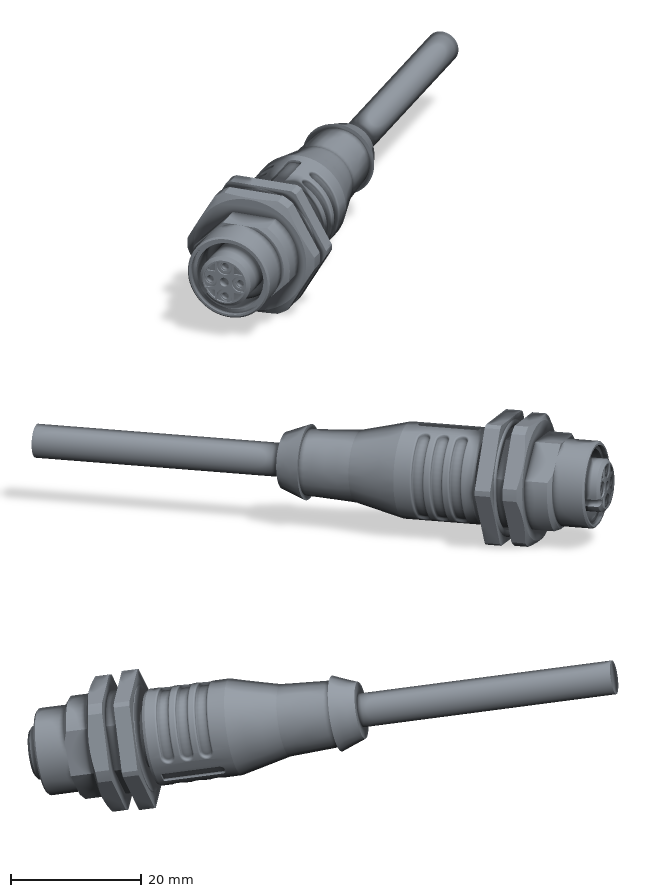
import cadquery as cq
import math


total_length = 92.0
cable_diameter = 5.2

boot_front = 19.0
boot_front_chamfer = 0.5
grip_back = 32.1
waist_y = 39.9
collar_front = 48.1
collar_back = 52.0
grip_radius = 15.0 / 2
waist_radius = 5.6
boot_neck_radius = 5.15
collar_front_radius = 5.9
collar_back_radius = 4.4
neck_radius = 9.4 / 2

groove_pitch = 3.0
middle_groove_y = 25.3
groove_width = 1.8
groove_end_x = 3.0
groove_depth = 0.55
groove_fillet = 0.26
slot_width = 2.1
slot_front = 20.4
slot_back = 30.4
slot_floor_z = 7.0
slot_corner_radius = 0.7

across_flats = 19.0
flange_back = 17.9
flange_front = 15.5
flange_corner_radius = 21.5 / 2
flange_land_radius = 8.3
flange_land_height = 0.1
panel_ring_radius = 9.2
panel_ring_front = 15.2
panel_ring_tube_radius = 0.6
nut_back = 13.5
nut_front = 10.8
nut_corner_radius = 21.0 / 2
nut_face_radius = 9.3
nut_chamfer_length = 0.55

housing_radius = 16.0 / 2
housing_front = 6.6
housing_front_radius = 7.3
housing_chamfer_length = 0.55
flat_distance = 13.5 / 2
sleeve_radius = flat_distance
sleeve_front = 1.7
sleeve_edge_chamfer = 0.3
mouth_radius = 12.3 / 2
mouth_depth = 0.7
bore_radius = 11.0 / 2
bore_floor = housing_front

insert_radius = 4.1
insert_chamfer_width = 0.55
insert_chamfer_length = 0.5
sealing_ring_tube_radius = (bore_radius - insert_radius) / 2
contact_circle_radius = 2.5
contact_hole_diameter = 1.1
contact_mouth_diameter = 1.5
contact_hole_depth = 4.6
contact_pocket_radius = 2.5 / 2
contact_pocket_depth = 0.3
contact_pocket_reach = 3.4
corner_recess_offset = 1.6
corner_recess_radius = 3.3
key_angle = 210
key_radius = 0.7
key_length = 4.6

overlap = 0.5


def turned(points):
    """Solid of revolution about Y from (radius, y) points."""
    return cq.Workplane("XY").polyline(points).close().revolve(360, (0, 0, 0), (0, 1, 0))


def cylinder(radius, y_front, y_back, x=0.0, z=0.0):
    """Cylinder parallel to Y."""
    plane = cq.Plane(origin=(x, y_front, z), xDir=(1, 0, 0), normal=(0, 1, 0))
    return cq.Workplane(plane).circle(radius).extrude(y_back - y_front)


def hexagon(y_front, y_back, corner_radius):
    """Hexagonal prism with flats on top and bottom and its corners turned to a cylinder."""
    corner_distance = across_flats / math.cos(math.pi / 6)
    prism = cq.Workplane("XZ", origin=(0, y_back, 0)).polygon(6, corner_distance).extrude(y_back - y_front)
    return prism.intersect(cylinder(corner_radius, y_front, y_back))


def make_boot():
    """Turned boot with a grip, a cone, a neck and a collar."""
    profile = (
        cq.Workplane("XY")
        .moveTo(0, boot_front)
        .lineTo(grip_radius - boot_front_chamfer / 2, boot_front)
        .lineTo(grip_radius, boot_front + boot_front_chamfer)
        .lineTo(grip_radius, grip_back)
        .lineTo(waist_radius, waist_y)
        .lineTo(boot_neck_radius, collar_front)
        .lineTo(collar_front_radius, collar_front)
        .lineTo(collar_back_radius, collar_back)
        .lineTo(0, collar_back)
        .close()
    )
    return profile.revolve(360, (0, 0, 0), (0, 1, 0))


def grip_groove(y, side):
    """Cutter for one round-ended groove wrapped round an X side of the grip."""
    half_width = groove_width / 2
    outside = 2 * grip_radius
    window = (
        cq.Workplane("XY", origin=(0, y, -outside))
        .moveTo(side * outside, half_width)
        .lineTo(side * (groove_end_x + half_width), half_width)
        .threePointArc((side * groove_end_x, 0), (side * (groove_end_x + half_width), -half_width))
        .lineTo(side * outside, -half_width)
        .close()
        .extrude(2 * outside)
    )
    return window.cut(cylinder(grip_radius - groove_depth, y - groove_width, y + groove_width))


def is_groove_edge(edge):
    """True for the edges along the rim or the floor of a groove, but not for those across its wall."""
    start_radius, end_radius = (math.hypot(p.x, p.z) for p in (edge.startPoint(), edge.endPoint()))
    runs_along = abs(start_radius - end_radius) < groove_depth / 2
    return runs_along and abs(edge.Center().y - middle_groove_y) < 1.5 * groove_pitch


def grip_slot():
    """Flat-bottomed slot cutter for the top, rounded at its cable end."""
    slot_length = slot_back - slot_front
    block = cq.Workplane("XY").box(slot_width, slot_length, grip_radius, centered=(True, False, False))
    return block.edges("|Z and >Y").fillet(slot_corner_radius).translate((0, slot_front, slot_floor_z))


def make_nut():
    """Hexagonal nut with its front corners chamfered."""
    turned_blank = turned([
        (0, nut_front),
        (nut_face_radius, nut_front),
        (nut_corner_radius, nut_front + nut_chamfer_length),
        (nut_corner_radius, nut_back),
        (0, nut_back),
    ])
    return hexagon(nut_front, nut_back, nut_corner_radius).intersect(turned_blank)


def make_housing():
    """Turned body with level flats above and below and a pair of flats tilted by 45 degrees."""
    body = turned([
        (0, housing_front),
        (housing_front_radius, housing_front),
        (housing_radius, housing_front + housing_chamfer_length),
        (housing_radius, flange_front),
        (0, flange_front),
    ])
    width = 2 * housing_radius
    flats = cq.Workplane("XY").box(width, 2 * total_length, 2 * flat_distance)
    return body.intersect(flats).intersect(flats.rotate((0, 0, 0), (0, 1, 0), -45))


def make_sleeve():
    """Thin sleeve with a wider mouth stepped into its bore."""
    sleeve = cylinder(sleeve_radius, sleeve_front, housing_front).faces("<Y").chamfer(sleeve_edge_chamfer)
    mouth = cylinder(mouth_radius, sleeve_front, sleeve_front + mouth_depth)
    return sleeve.cut(mouth).cut(cylinder(bore_radius, sleeve_front, bore_floor))


def contact_hole(x, z):
    """Blind contact hole with a counterbored mouth."""
    hole = cylinder(contact_hole_diameter / 2, 0, contact_hole_depth, x, z)
    counterbore_depth = contact_pocket_depth + (contact_mouth_diameter - contact_hole_diameter) / 2
    return hole.union(cylinder(contact_mouth_diameter / 2, 0, counterbore_depth, x, z))


def contact_pocket():
    """U-shaped pocket round the top contact, running outwards nearly to the insert chamfer."""
    width = 2 * contact_pocket_radius
    leg = (
        cq.Workplane("XY")
        .box(width, contact_pocket_depth, contact_pocket_reach, centered=(True, False, False))
        .translate((0, 0, contact_circle_radius))
    )
    round_end = cylinder(contact_pocket_radius, 0, contact_pocket_depth, 0, contact_circle_radius)
    return round_end.union(leg).intersect(cylinder(contact_pocket_reach, 0, contact_pocket_depth))


def corner_recess():
    """Shallow recess between two neighbouring contact pockets."""
    block = (
        cq.Workplane("XY")
        .box(corner_recess_radius, contact_pocket_depth, corner_recess_radius, centered=False)
        .translate((corner_recess_offset, 0, corner_recess_offset))
    )
    return block.intersect(cylinder(corner_recess_radius, 0, contact_pocket_depth))


def make_insert():
    """Socket insert with four outer contacts, a central hole and a coding keyway along its side."""
    insert = cylinder(insert_radius, 0, bore_floor + overlap)
    insert = insert.faces("<Y").chamfer(insert_chamfer_length, insert_chamfer_width)
    for quarter in range(4):
        angle = 90 * quarter
        for cutter in (contact_pocket(), corner_recess(), contact_hole(0, contact_circle_radius)):
            insert = insert.cut(cutter.rotate((0, 0, 0), (0, 1, 0), angle))
    insert = insert.cut(cylinder(contact_mouth_diameter / 2, 0, contact_hole_depth))
    key_x = insert_radius * math.cos(math.radians(key_angle))
    key_z = insert_radius * math.sin(math.radians(key_angle))
    return insert.cut(cylinder(key_radius, 0, key_length, key_x, key_z))


def ring(outer_radius, tube_radius, y):
    """Round-section ring about Y, with its section centred at y."""
    centre_radius = outer_radius - tube_radius
    section = cq.Workplane("XY").center(centre_radius, y).circle(tube_radius)
    return section.revolve(360, (-centre_radius, 0, 0), (-centre_radius, 1, 0))


boot = make_boot()
for row in (-1, 0, 1):
    for side in (-1, 1):
        boot = boot.cut(grip_groove(middle_groove_y + row * groove_pitch, side))
boot = boot.edges().filter(is_groove_edge).fillet(groove_fillet)
top_slot = grip_slot()
boot = boot.cut(top_slot).cut(top_slot.mirror("XY"))

result = (
    boot
    .union(cylinder(cable_diameter / 2, collar_back - overlap, total_length))
    .union(cylinder(neck_radius, flange_front, boot_front + overlap))
    .union(hexagon(flange_front, flange_back, flange_corner_radius))
    .union(cylinder(flange_land_radius, flange_front, flange_back + flange_land_height))
    .union(ring(panel_ring_radius, panel_ring_tube_radius, panel_ring_front + panel_ring_tube_radius))
    .union(make_housing())
    .union(make_nut())
    .union(make_sleeve())
    .union(make_insert())
    .union(ring(bore_radius, sealing_ring_tube_radius, bore_floor))
)